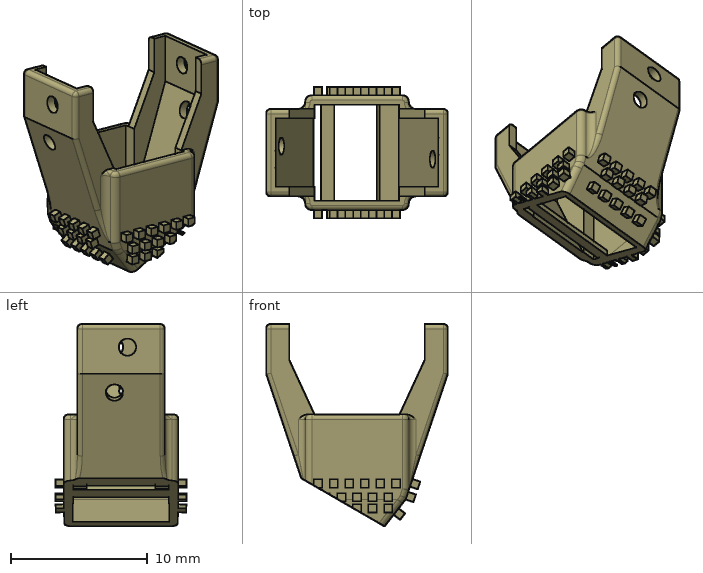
import math

import cadquery as cq


WALL = 0.7
SOCKET_X = 3.8
SOCKET_Y = 4.2
CORNER_R = 0.5
EDGE_R = 0.35
CAVITY_X = SOCKET_X - WALL
CAVITY_Y = SOCKET_Y - WALL
FLOOR_Z = -5.5
KNEE_Z = -6.2
DRAFT = math.radians(1.5)
OPENING_X = 1.65
OPENING_LEAN = math.radians(7.2)

ARM_X = 6.65
ARM_Y = 3.2
ARM_TOP_Z = 6.62
ARM_BEND_Z = 2.97
ARM_LEAN = math.radians(18.6)
FLANGE_X = 4.95
FLANGE_BEND_Z = 4.0
CHANNEL_Y = ARM_Y - WALL

NOSE_LEAN = math.radians(38)
CUT_START_X = -4.08
CUT_ANGLE = math.radians(30)

BELOW_Z = -10.0
TOUCH = 0.01

HOLE_D = 1.25
HOLE_OFFSET_Y = 0.48
UPPER_HOLE_Z = 4.92
LOWER_HOLE_Z = 1.6

STUD = 0.6
STUD_ROOT = 0.3
STUD_PITCH = 1.14
SIDE_ROWS = ((-5.05, 6), (-6.05, 5), (-6.86, 5))
NOSE_ROWS = ((-5.0, 5), (-5.94, 4), (-7.1, 5))


def arm_face_x(z, depth=0.0):
    """X of the leaning arm face at height z, moved inward by a wall depth."""
    return ARM_X - depth / math.cos(ARM_LEAN) - (ARM_BEND_Z - z) * math.tan(ARM_LEAN)


def nose_face_x(z):
    """X of the nose face at height z."""
    return arm_face_x(KNEE_Z) - (KNEE_Z - z) * math.tan(NOSE_LEAN)


def arm_face_z(x):
    """Height at which the leaning arm face reaches x."""
    return ARM_BEND_Z - (ARM_X - x) / math.tan(ARM_LEAN)


def slab(points, half_width):
    """Extrude an XZ outline to both sides of Y = 0."""
    return cq.Workplane("XZ").polyline(points).close().extrude(half_width, both=True)


def block(half_x, half_y, bottom, top):
    """Box centred on the Z axis between two heights."""
    box = cq.Workplane("XY").box(2 * half_x, 2 * half_y, top - bottom, centered=(True, True, False))
    return box.translate((0, 0, bottom))


def drafted_block(half_x, half_y, top, draft):
    """Block from top to BELOW_Z whose Y sides spread by the draft under the knee (draw in if negative)."""
    end_y = half_y + (KNEE_Z - BELOW_Z) * math.tan(draft)
    outline = [
        (-half_y, top),
        (half_y, top),
        (half_y, KNEE_Z),
        (end_y, BELOW_Z),
        (-end_y, BELOW_Z),
        (-half_y, KNEE_Z),
    ]
    return cq.Workplane("YZ").polyline(outline).close().extrude(half_x, both=True)


def edges_near(solid, x_range, y_from, z_range):
    """Edges whose middles lie in the given ranges, at |Y| beyond y_from."""
    found = []
    for edge in solid.edges().vals():
        middle = edge.Center()
        in_x = x_range[0] < middle.x < x_range[1]
        in_z = z_range[0] < middle.z < z_range[1]
        if in_x and in_z and abs(middle.y) > y_from:
            found.append(edge)
    return solid.newObject(found)


def make_core():
    """Solid socket with drafted lower sides and rounded edges at its four corners."""
    nose_end_x = nose_face_x(BELOW_Z)
    folded_outline = [
        (-SOCKET_X, 0),
        (SOCKET_X, 0),
        (SOCKET_X, arm_face_z(SOCKET_X)),
        (arm_face_x(KNEE_Z), KNEE_Z),
        (nose_end_x, BELOW_Z),
        (-SOCKET_X, BELOW_Z),
    ]
    core = slab(folded_outline, SOCKET_Y)
    core = core.intersect(drafted_block(SOCKET_X, SOCKET_Y, 0, -DRAFT))
    corners = edges_near(core, (nose_end_x + WALL, ARM_X), ARM_Y + WALL, (BELOW_Z, 0))
    core = corners.fillet(CORNER_R)
    corners = edges_near(core, (-ARM_X, WALL - SOCKET_X), ARM_Y + WALL, (KNEE_Z, 0))
    return corners.fillet(CORNER_R)


def plan_prism():
    """Upright prism of the socket and arms in plan, flared where they meet, with a rounded rim."""
    far_x = 2 * ARM_X
    quarter = (
        cq.Workplane("XY", origin=(0, 0, BELOW_Z))
        .lineTo(far_x, 0)
        .lineTo(far_x, ARM_Y)
        .lineTo(SOCKET_X + CORNER_R, ARM_Y)
        .radiusArc((SOCKET_X, ARM_Y + CORNER_R), CORNER_R)
        .radiusArc((SOCKET_X - CORNER_R, SOCKET_Y), -CORNER_R)
        .lineTo(0, SOCKET_Y)
        .close()
        .extrude(-BELOW_Z)
    )
    half = quarter.union(quarter.mirror("YZ"))
    prism = half.union(half.mirror("XZ")).clean()
    return edges_near(prism, (-far_x, far_x), CHANNEL_Y, (-EDGE_R, EDGE_R)).fillet(EDGE_R)


def lean_outline(depth):
    """Symmetric outline of both arms' outer faces down to the knee, moved inward by a wall depth."""
    right = [
        (ARM_X - depth, ARM_TOP_Z),
        (ARM_X - depth, ARM_BEND_Z + depth * math.tan(ARM_LEAN / 2)),
        (arm_face_x(KNEE_Z, depth), KNEE_Z),
    ]
    return right + [(-x, z) for x, z in reversed(right)]


def make_arms():
    """Both arms as solid blocks with their flared roots and rounded outer edges."""
    arms = plan_prism().union(block(ARM_X, ARM_Y, BELOW_Z, ARM_TOP_Z))
    arms = arms.intersect(slab(lean_outline(0), ARM_Y + CORNER_R))
    rounded = arms.faces(">Z").edges().add(arms.faces("<X or >X").edges("|Z"))
    for edge in arms.edges().vals():
        middle = edge.Center()
        on_leaning_face = abs(middle.z - arm_face_z(abs(middle.x))) < TOUCH
        if on_leaning_face and ARM_Y - TOUCH < abs(middle.y) < ARM_Y + CORNER_R - TOUCH:
            rounded = rounded.add(arms.newObject([edge]))
    return rounded.fillet(EDGE_R)


def make_outside():
    """Solid outer shape of the whole part, before it is hollowed."""
    core = make_core().intersect(plan_prism())
    return core.union(make_arms())


def hollow():
    """Space inside the part: gap between the arms, their channels, the cavity and its opening."""
    gap = slab(
        [
            (-FLANGE_X, ARM_TOP_Z),
            (-FLANGE_X, FLANGE_BEND_Z),
            (-CAVITY_X, 0),
            (CAVITY_X, 0),
            (FLANGE_X, FLANGE_BEND_Z),
            (FLANGE_X, ARM_TOP_Z),
        ],
        SOCKET_Y,
    )
    inside = block(ARM_X, CHANNEL_Y, FLOOR_Z, ARM_TOP_Z).union(block(CAVITY_X, CAVITY_Y, FLOOR_Z, 0))
    inside = inside.intersect(slab(lean_outline(WALL), SOCKET_Y))
    return gap.union(inside).union(floor_opening())


def floor_opening():
    """Opening through the floor; below the knee it widens along Y and its +X side leans inward."""
    drop = KNEE_Z - BELOW_Z
    lean_x = OPENING_X - drop * math.tan(OPENING_LEAN)
    along_x = slab(
        [
            (-OPENING_X, FLOOR_Z),
            (OPENING_X, FLOOR_Z),
            (OPENING_X, KNEE_Z),
            (lean_x, BELOW_Z),
            (-OPENING_X, BELOW_Z),
        ],
        SOCKET_Y,
    )
    return along_x.intersect(drafted_block(OPENING_X, CAVITY_Y, FLOOR_Z, DRAFT))


def arm_holes(side):
    """Upper and lower hole of one arm (side is -1 or +1), each square to the face it pierces."""
    cutters = []
    for y, z, face_x, lean in (
        (side * HOLE_OFFSET_Y, UPPER_HOLE_Z, ARM_X, 0),
        (-side * HOLE_OFFSET_Y, LOWER_HOLE_Z, arm_face_x(LOWER_HOLE_Z), ARM_LEAN),
    ):
        inward = cq.Vector(-side * math.cos(lean), 0, math.sin(lean))
        start = cq.Vector(side * face_x, y, z) - inward * WALL
        cutters.append(cq.Solid.makeCylinder(HOLE_D / 2, 3 * WALL, start, inward))
    return cutters


def row_places(count):
    """Positions of equally pitched studs, centred on zero."""
    return [(i - (count - 1) / 2) * STUD_PITCH for i in range(count)]


def stud():
    """One stud on the XY plane, standing up along Z with its root sunk below the plane."""
    return block(STUD / 2, STUD / 2, -STUD_ROOT, STUD)


def side_studs():
    """Stud rows on the -Y and +Y faces; those below the knee follow the draft."""
    studs = []
    for z, count in SIDE_ROWS:
        tilt = 0
        inset = 0
        if z + STUD / 2 < KNEE_Z:
            tilt = math.degrees(DRAFT)
            inset = (KNEE_Z - z) * math.tan(DRAFT)
        for x in row_places(count):
            for side in (-1, 1):
                turned = stud().rotate((0, 0, 0), (1, 0, 0), -side * (90 + tilt))
                studs.append(turned.translate((x, side * (SOCKET_Y - inset), z)))
    return studs


def nose_studs():
    """Stud rows on the folded +X face, square to it."""
    studs = []
    for z, count in NOSE_ROWS:
        face_x = arm_face_x(z)
        lean = ARM_LEAN
        if z < KNEE_Z:
            face_x = nose_face_x(z)
            lean = NOSE_LEAN
        for y in row_places(count):
            turned = stud().rotate((0, 0, 0), (0, 1, 0), 90 + math.degrees(lean))
            studs.append(turned.translate((face_x, y, z)))
    return studs


def below_underside():
    """Everything under the slanted underside."""
    cut_z = arm_face_z(-CUT_START_X)
    left_x = -2 * ARM_X
    right_x = 2 * ARM_X
    return slab(
        [
            (left_x, cut_z + (CUT_START_X - left_x) * math.tan(CUT_ANGLE)),
            (right_x, cut_z + (CUT_START_X - right_x) * math.tan(CUT_ANGLE)),
            (right_x, 2 * BELOW_Z),
            (left_x, 2 * BELOW_Z),
        ],
        2 * SOCKET_Y,
    )


result = make_outside().cut(hollow())
for side in (-1, 1):
    for cutter in arm_holes(side):
        result = result.cut(cutter)
for grip in side_studs() + nose_studs():
    result = result.union(grip)
result = result.cut(below_underside())